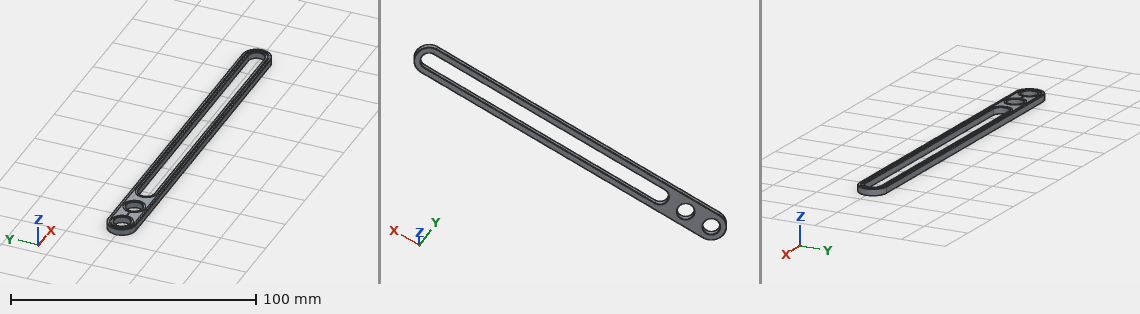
import cadquery as cq

pitch = 12.5
length = 12 * pitch
width = pitch
thickness = pitch / 4
hole_diameter = 7.0
rim_diameter = 9.2
recess_depth = 0.2
edge_chamfer = 0.3
chamfer_angle = 45
rib_width = 0.2
rib_length = 3.0

rail_width = (rim_diameter - hole_diameter) / 2
recess_width = width - 2 * rail_width
flare_diameter = hole_diameter + 2 * edge_chamfer
slot_end_x = (length - width) / 2
first_hole_x = -slot_end_x
second_hole_x = first_hole_x + pitch
slot_start_x = second_hole_x + pitch
rib_x = (first_hole_x + second_hole_x) / 2

openings = [
    (first_hole_x, first_hole_x),
    (second_hole_x, second_hole_x),
    (slot_start_x, slot_end_x),
]


def rounded_outline(start_x, end_x, outline_width, base_z=0):
    """Round-ended outline with its end centers at start_x and end_x; a circle if they coincide."""
    plane = cq.Workplane("XY", origin=((start_x + end_x) / 2, 0, base_z))
    if start_x == end_x:
        return plane.circle(outline_width / 2)
    return plane.slot2D(end_x - start_x + outline_width, outline_width)


def make_body():
    """Round-ended bar with chamfered top and bottom edges."""
    bar = rounded_outline(first_hole_x, slot_end_x, width).extrude(thickness)
    return bar.faces("|Z").edges().chamfer(edge_chamfer)


def make_recess():
    """Shallow top pocket that leaves the outer rail, the opening rims and the rib standing."""
    floor_z = thickness - recess_depth
    recess = rounded_outline(first_hole_x, slot_end_x, recess_width, floor_z).extrude(recess_depth)
    for start_x, end_x in openings:
        rim = rounded_outline(start_x, end_x, rim_diameter, floor_z).extrude(recess_depth)
        recess = recess.cut(rim)
    rib = cq.Workplane("XY", origin=(rib_x, 0, floor_z)).rect(rib_length, rib_width).extrude(recess_depth)
    return recess.cut(rib)


def cut_opening(part, start_x, end_x):
    """Through opening with a chamfer at the top and bottom faces."""
    passage = rounded_outline(start_x, end_x, hole_diameter).extrude(thickness)
    bottom_flare = rounded_outline(start_x, end_x, flare_diameter).extrude(edge_chamfer, taper=chamfer_angle)
    top_flare = rounded_outline(start_x, end_x, flare_diameter, thickness).extrude(
        -edge_chamfer, taper=chamfer_angle
    )
    return part.cut(passage).cut(bottom_flare).cut(top_flare)


result = make_body().cut(make_recess())
for opening_start_x, opening_end_x in openings:
    result = cut_opening(result, opening_start_x, opening_end_x)